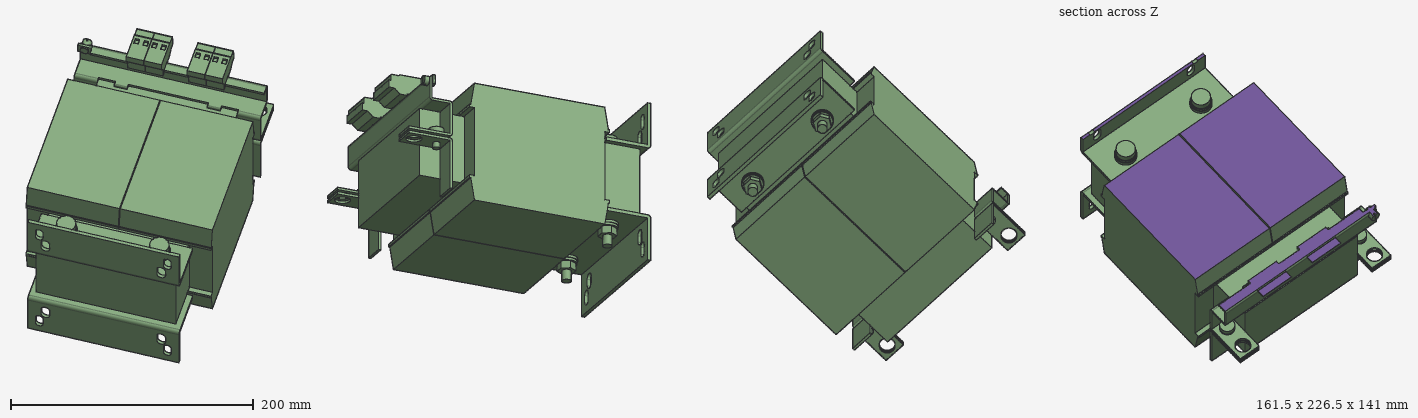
import cadquery as cq

TOTAL_Y = 226.5

CORE_X = 120.0
CORE_Y = 200.0
CORE_Z = 60.0
LIMB = 40.0
CORE_TOP = CORE_Z / 2

COIL_OUTER_X = 79.5
COIL_GAP = 0.8
COIL_HALF_Z = 52.5
COIL_HALF_Y = 59.2
TAPER_HALF_Y = 62.5
LIP_HALF_Y = 63.5
LIP_BOTTOM = 30.5
LIP_TOP = 33.0

BRACKET_X = 130.0
BRACKET_T = 3.0
BRACKET_FRONT_Y = -107.8
BRACKET_BACK_Y = -67.5
BRACKET_HALF_Z = 70.5
BEND_R = 3.0
OUTER_SLOT = (55.0, 57.3, 6.6, 13.0)
INNER_SLOT = (49.7, 44.3, 7.5, 13.2)

BOLT_X = 40.0
BOLT_Y = -79.8
BOLT_D = 8.0
BOLT_HEAD_D = 16.0
BOLT_HEAD_TOP = 43.8
WASHER_D = 18.5
UPPER_WASHER_T = 3.0
LOWER_WASHER_T = 2.3
SPRING_WASHER_D = 17.5
SPRING_WASHER_T = 2.2
NUT_FLATS = 13.5
NUT_T = 6.5
NUT_TURN = 30.0
BOLT_END = -53.0

SHEET = 2.2
RAIL_HALF_X = 80.0
RAIL_BACK_Y = CORE_Y / 2
LEG_FRONT_Y = 79.3
LEDGE_EDGE_Y = 83.2
RAIL_TOP = 52.4
FLANGE_FRONT_Y = 90.5
FLANGE_START_X = -69.6
SHEET_BEND_R = 2.8
FOOT_END_Y = BRACKET_FRONT_Y + TOTAL_Y
FOOT_GAP = 1.8
FOOT_HOLE_X = 70.0
FOOT_HOLE_Y = 109.7
FOOT_HOLE_D = 13.2
LOWER_LEG_END = -46.0
TAB_X = 40.0
TAB_W = 11.3

FOOT_BOLT_Y = 89.4
FOOT_BOLT_D = 6.0
FOOT_BOLT_HEAD_D = 12.6
FOOT_BOLT_HEAD_TOP = 9.2
FOOT_BOLT_END = -7.9
FOOT_WASHER_D = 11.0
FOOT_WASHER_T = 1.0

TERMINAL_W = 15.2
TERMINAL_PAIR_X = (-21.1, 31.3)
TERMINAL_TOP = 68.3
WIRE_HOLE_X = 3.9
WIRE_HOLE_Y = 101.3
WIRE_HOLE_SIZE = (3.6, 4.8)
WIRE_HOLE_DEPTH = 2.0
SEAM = 0.3

EARTH_X = -75.6
EARTH_Z = 48.4
CLAMP_W = 11.8
CLAMP_H = 8.1
CLAMP_FRONT_Y = 95.6
EARTH_NUT_D = 7.0
EARTH_NUT_FRONT_Y = 94.3
EARTH_HEAD_D = 8.0
EARTH_HEAD_END_Y = 104.3
EARTH_SLOT = (1.0, 2.0)


def box(x0, x1, y0, y1, z0, z1):
    size = (x1 - x0, y1 - y0, z1 - z0)
    return cq.Workplane("XY").box(*size, centered=False).translate((x0, y0, z0))


def cylinder(x, y, diameter, z0, z1):
    return cq.Workplane("XY", origin=(x, y, z0)).circle(diameter / 2).extrude(z1 - z0)


def cylinder_along_y(x, z, diameter, y0, y1):
    return cq.Workplane("XZ", origin=(x, y0, z)).circle(diameter / 2).extrude(y0 - y1)


def extrude_yz(points, x0, x1):
    """Extrude a closed (y, z) outline from x0 to x1."""
    return cq.Workplane("YZ", origin=(x0, 0, 0)).polyline(points).close().extrude(x1 - x0)


def mirrored_x(shape):
    return shape.union(shape.mirror("YZ"))


def make_core():
    core = cq.Workplane("XY").box(CORE_X, CORE_Y, CORE_Z)
    window = cq.Workplane("XY").box(CORE_X - 2 * LIMB, CORE_Y - 2 * LIMB, CORE_Z)
    return core.cut(window)


def make_coils():
    upper_half = [
        (COIL_HALF_Y, 0),
        (COIL_HALF_Y, LIP_BOTTOM),
        (LIP_HALF_Y, LIP_BOTTOM),
        (LIP_HALF_Y, LIP_TOP),
        (TAPER_HALF_Y, LIP_TOP),
        (COIL_HALF_Y, COIL_HALF_Z),
    ]
    outline = upper_half + [(-y, z) for y, z in reversed(upper_half)]
    half = extrude_yz(outline, COIL_GAP / 2, COIL_OUTER_X)
    return mirrored_x(half.union(half.mirror("XY")))


def make_front_bracket():
    """Upper angle bracket: a flat on the yoke and an upright plate with slots."""
    plate_back_y = BRACKET_FRONT_Y + BRACKET_T
    outline = [
        (BRACKET_BACK_Y, CORE_TOP),
        (BRACKET_FRONT_Y, CORE_TOP),
        (BRACKET_FRONT_Y, BRACKET_HALF_Z),
        (plate_back_y, BRACKET_HALF_Z),
        (plate_back_y, CORE_TOP + BRACKET_T),
        (BRACKET_BACK_Y, CORE_TOP + BRACKET_T),
    ]
    bracket = extrude_yz(outline, -BRACKET_X / 2, BRACKET_X / 2)
    outer_corner = cq.selectors.NearestToPointSelector((0, BRACKET_FRONT_Y, CORE_TOP))
    bracket = bracket.edges(outer_corner).fillet(BEND_R)
    for x, z, width, length in (OUTER_SLOT, INNER_SLOT):
        slots = (
            cq.Workplane("XZ", origin=(0, plate_back_y, 0))
            .pushPoints([(-x, z), (x, z)])
            .slot2D(length, width, 90)
            .extrude(BRACKET_T)
        )
        bracket = bracket.cut(slots)
    return bracket


def make_yoke_bolt():
    """Bolt through one end of the front yoke, with flat and spring washers and a hexagon nut."""
    bracket_top = CORE_TOP + BRACKET_T
    upper_washer_top = bracket_top + UPPER_WASHER_T
    head_bottom = upper_washer_top + SPRING_WASHER_T
    lower_washer_end = -bracket_top - LOWER_WASHER_T
    nut_top = lower_washer_end - SPRING_WASHER_T
    bolt = (
        cq.Workplane("XY", origin=(BOLT_X, BOLT_Y, nut_top))
        .transformed(rotate=(0, 0, NUT_TURN))
        .polygon(6, NUT_FLATS, circumscribed=True)
        .extrude(-NUT_T)
    )
    sections = [
        (BOLT_D, BOLT_END, head_bottom),
        (WASHER_D, bracket_top, upper_washer_top),
        (SPRING_WASHER_D, upper_washer_top, head_bottom),
        (BOLT_HEAD_D, head_bottom, BOLT_HEAD_TOP),
        (WASHER_D, lower_washer_end, -bracket_top),
        (SPRING_WASHER_D, nut_top, lower_washer_end),
    ]
    for diameter, bottom, top in sections:
        bolt = bolt.union(cylinder(BOLT_X, BOLT_Y, diameter, bottom, top))
    return bolt


def make_rail():
    """Z-shaped rail lying on the rear yoke, with a notched flange along its top."""
    ledge_top = CORE_TOP + SHEET
    outline = [
        (LEDGE_EDGE_Y, CORE_TOP),
        (RAIL_BACK_Y, CORE_TOP),
        (RAIL_BACK_Y, RAIL_TOP),
        (FLANGE_FRONT_Y, RAIL_TOP),
        (FLANGE_FRONT_Y, RAIL_TOP - SHEET),
        (RAIL_BACK_Y - SHEET, RAIL_TOP - SHEET),
        (RAIL_BACK_Y - SHEET, ledge_top),
        (LEDGE_EDGE_Y, ledge_top),
    ]
    rail = extrude_yz(outline, -RAIL_HALF_X, RAIL_HALF_X)
    for z in (CORE_TOP, RAIL_TOP):
        bend = cq.selectors.NearestToPointSelector((0, RAIL_BACK_Y, z))
        rail = rail.edges(bend).fillet(SHEET_BEND_R)
    notch = box(
        -RAIL_HALF_X, FLANGE_START_X, FLANGE_FRONT_Y, RAIL_BACK_Y - SHEET, RAIL_TOP - SHEET, RAIL_TOP
    )
    rail = rail.cut(notch)
    tab = box(TAB_X - TAB_W / 2, TAB_X + TAB_W / 2, LEG_FRONT_Y, LEDGE_EDGE_Y, CORE_TOP, ledge_top)
    tab = tab.edges("|X and >Z and <Y").fillet(SHEET / 2)
    return rail.union(mirrored_x(tab))


def make_feet():
    """Upper and lower bent legs beside the rear yoke, each with a bolt hole in its foot."""
    leg_back_y = LEG_FRONT_Y + SHEET
    foot_bottom = FOOT_GAP / 2
    foot_top = foot_bottom + SHEET
    ledge_top = CORE_TOP + SHEET
    upper_outline = [
        (LEG_FRONT_Y, foot_bottom),
        (FOOT_END_Y, foot_bottom),
        (FOOT_END_Y, foot_top),
        (leg_back_y, foot_top),
        (leg_back_y, CORE_TOP),
        (LEDGE_EDGE_Y, CORE_TOP),
        (LEDGE_EDGE_Y, ledge_top),
        (LEG_FRONT_Y, ledge_top),
    ]
    lower_outline = [
        (LEG_FRONT_Y, -foot_bottom),
        (FOOT_END_Y, -foot_bottom),
        (FOOT_END_Y, -foot_top),
        (leg_back_y, -foot_top),
        (leg_back_y, LOWER_LEG_END),
        (LEG_FRONT_Y, LOWER_LEG_END),
    ]
    upper = extrude_yz(upper_outline, CORE_X / 2, RAIL_HALF_X)
    upper = upper.edges("|X and <Y").fillet(SHEET_BEND_R)
    lower = extrude_yz(lower_outline, CORE_X / 2, RAIL_HALF_X)
    lower = lower.edges("|X and <Y and >Z").fillet(SHEET_BEND_R)
    hole = cylinder(FOOT_HOLE_X, FOOT_HOLE_Y, FOOT_HOLE_D, -foot_top, foot_top)
    washer_top = foot_top + FOOT_WASHER_T
    bolt = (
        cylinder(FOOT_HOLE_X, FOOT_BOLT_Y, FOOT_BOLT_D, FOOT_BOLT_END, washer_top)
        .union(cylinder(FOOT_HOLE_X, FOOT_BOLT_Y, FOOT_WASHER_D, foot_top, washer_top))
        .union(cylinder(FOOT_HOLE_X, FOOT_BOLT_Y, FOOT_BOLT_HEAD_D, washer_top, FOOT_BOLT_HEAD_TOP))
    )
    return mirrored_x(upper.union(lower).cut(hole).union(bolt))


def make_terminal_pair(center_x):
    """Two blocks side by side, clipped over the rail flange."""
    flange_bottom = RAIL_TOP - SHEET
    outline = [
        (115.2, 66.8),
        (114.1, 67.4),
        (108.2, 67.4),
        (106.7, TERMINAL_TOP),
        (83.3, TERMINAL_TOP),
        (83.3, 61.7),
        (87.4, 56.6),
        (87.4, 48.5),
        (92.8, 48.5),
        (92.8, flange_bottom),
        (FLANGE_FRONT_Y, flange_bottom),
        (FLANGE_FRONT_Y, RAIL_TOP),
        (RAIL_BACK_Y, RAIL_TOP),
        (RAIL_BACK_Y, 50.9),
        (106.8, 50.9),
        (112.1, 55.5),
        (116.7, 55.5),
        (116.7, 62.0),
        (115.2, 62.0),
    ]
    pair = extrude_yz(outline, center_x - TERMINAL_W, center_x + TERMINAL_W)
    hole_points = [
        (center_x + block * TERMINAL_W / 2 + side * WIRE_HOLE_X, WIRE_HOLE_Y)
        for block in (-1, 1)
        for side in (-1, 1)
    ]
    holes = (
        cq.Workplane("XY", origin=(0, 0, TERMINAL_TOP))
        .pushPoints(hole_points)
        .rect(*WIRE_HOLE_SIZE)
        .extrude(-WIRE_HOLE_DEPTH)
    )
    slab = extrude_yz(outline, center_x - SEAM / 2, center_x + SEAM / 2)
    seam = slab.cut(slab.translate((0, SEAM, -SEAM)))
    return pair.cut(holes).cut(seam)


def make_earth_screw():
    rail_front_y = RAIL_BACK_Y - SHEET
    clamp = box(
        EARTH_X - CLAMP_W / 2,
        EARTH_X + CLAMP_W / 2,
        CLAMP_FRONT_Y,
        rail_front_y,
        EARTH_Z - CLAMP_H / 2,
        EARTH_Z + CLAMP_H / 2,
    )
    nut = cylinder_along_y(EARTH_X, EARTH_Z, EARTH_NUT_D, EARTH_NUT_FRONT_Y, CLAMP_FRONT_Y)
    head = cylinder_along_y(EARTH_X, EARTH_Z, EARTH_HEAD_D, rail_front_y, EARTH_HEAD_END_Y)
    slot_width, slot_depth = EARTH_SLOT
    slot = box(
        EARTH_X - slot_width / 2,
        EARTH_X + slot_width / 2,
        EARTH_HEAD_END_Y - slot_depth,
        EARTH_HEAD_END_Y,
        EARTH_Z - EARTH_HEAD_D / 2,
        EARTH_Z + EARTH_HEAD_D / 2,
    )
    return clamp.union(nut).union(head.cut(slot))


bracket = make_front_bracket()
result = (
    make_core()
    .union(make_coils())
    .union(bracket)
    .union(bracket.mirror("XY"))
    .union(mirrored_x(make_yoke_bolt()))
    .union(make_rail())
    .union(make_feet())
    .union(make_earth_screw())
)
for pair_x in TERMINAL_PAIR_X:
    result = result.union(make_terminal_pair(pair_x))